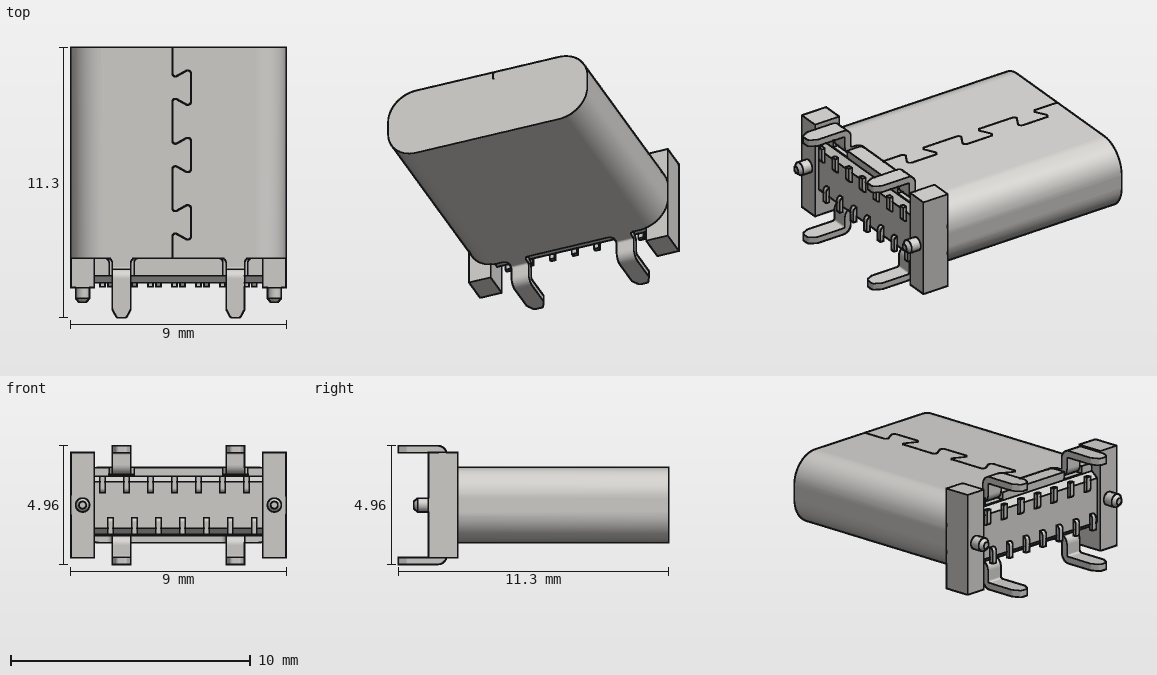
import cadquery as cq


SHELL_WIDTH = 9.0
SHELL_HEIGHT = 3.16
SHELL_LENGTH = 8.8
SHELL_SIDE_FLAT = 0.6
SHELL_CORNER_RADIUS = (SHELL_HEIGHT - SHELL_SIDE_FLAT) / 2
SHEET = 0.3

SEAM_NECK_X = -0.26
SEAM_HEAD_X = 0.515
SEAM_GAP = 0.02
TAB_COUNT = 3
TAB_FIRST_Y = 1.49
TAB_PITCH = 2.81
TAB_NECK_HALF = 0.365
TAB_HEAD_HALF = 0.8
TAB_FILLET = 0.13

BLOCK_WIDTH = 0.98
BLOCK_INSET = 0.01
BLOCK_HEIGHT = 4.4
BLOCK_LENGTH = 1.23
CORE_WIDTH = SHELL_WIDTH - 2 * (BLOCK_INSET + BLOCK_WIDTH)
LIP_DROP = 0.015
LIP_TOP_Z = SHELL_HEIGHT / 2 - LIP_DROP
CORE_LENGTH = 1.04
LIP_LENGTH = 0.73
CORE_HALF_HEIGHT = 1.21
CORE_FACE_HALF_HEIGHT = 0.965

SLOT_DEPTH = SHEET

PEG_X = (CORE_WIDTH + BLOCK_WIDTH) / 2
PEG_RADIUS = 0.29
PEG_LENGTH = 0.62
PEG_TIP_RADIUS = 0.15
PEG_TIP_LENGTH = 0.17

LEG_X = 2.375
LEG_WIDTH = 0.78
LEG_REACH = 2.5
LEG_OUTER_Z = 2.48
LEG_BEND_START = 0.375
LEG_BEND_RADIUS = 0.085
LEG_TIP_WIDTH = 0.4
LEG_TIP_LENGTH = 0.36
LEG_TIP_FILLET = 0.15
LEG_ROOT_FILLET = 0.2
NOTCH_WIDTH = 1.04
NOTCH_FLOOR_Z = 1.25
NOTCH_FLARE = 0.2

CONTACT_COUNT = 7
CONTACT_PITCH = 1.0
CONTACT_SHIFT = 0.165
CONTACT_WIDTH = 0.22
CONTACT_REACH = 1.2
CONTACT_INNER_Z = 0.52
CONTACT_ROUND = 0.18


def box(x_min, x_max, y_min, y_max, z_min, z_max):
    size = (x_max - x_min, y_max - y_min, z_max - z_min)
    return cq.Workplane("XY").box(*size, centered=False).translate((x_min, y_min, z_min))


def mirror_down(part):
    return part.mirror("XY")


def make_seam():
    """Narrow groove along a shell edge whose dovetail tabs point to +X."""
    points = [(-SHELL_WIDTH / 2, 0), (SEAM_NECK_X, 0)]
    for i in range(TAB_COUNT):
        y = TAB_FIRST_Y + i * TAB_PITCH
        points += [
            (SEAM_NECK_X, y - TAB_NECK_HALF),
            (SEAM_HEAD_X, y - TAB_HEAD_HALF),
            (SEAM_HEAD_X, y + TAB_HEAD_HALF),
            (SEAM_NECK_X, y + TAB_NECK_HALF),
        ]
    points += [(SEAM_NECK_X, SHELL_LENGTH), (-SHELL_WIDTH / 2, SHELL_LENGTH)]
    tab_corners = cq.selectors.BoxSelector(
        (SEAM_NECK_X - TAB_FILLET, TAB_FILLET, 0),
        (SEAM_HEAD_X + TAB_FILLET, SHELL_LENGTH - TAB_FILLET, SHELL_HEIGHT),
    )
    left_side = (
        cq.Workplane("XY")
        .workplane(offset=SHELL_HEIGHT / 2 - SHEET)
        .polyline(points)
        .close()
        .extrude(SHEET)
        .edges("|Z")
        .edges(tab_corners)
        .fillet(TAB_FILLET)
    )
    widened = left_side.faces(">Z").wires().toPending().offset2D(SEAM_GAP).extrude(-SHEET, combine=False)
    return widened.cut(left_side)


def make_shell():
    shell = (
        cq.Workplane("XZ")
        .rect(SHELL_WIDTH, SHELL_HEIGHT)
        .extrude(-SHELL_LENGTH)
        .edges("|Y")
        .fillet(SHELL_CORNER_RADIUS)
    )
    slot = box(-CORE_WIDTH / 2, CORE_WIDTH / 2, 0, SLOT_DEPTH, -SHELL_HEIGHT / 2 + SHEET, -CORE_HALF_HEIGHT)
    return shell.cut(make_seam()).cut(slot)


def flared_strip(x, width, flare, length, z_min, z_max):
    """Strip running to -Y from Y = 0, widened by concave fillets at Y = 0."""
    half = width / 2
    return (
        cq.Workplane("XY")
        .workplane(offset=z_min)
        .moveTo(x - half - flare, 0)
        .radiusArc((x - half, -flare), flare)
        .lineTo(x - half, -length)
        .lineTo(x + half, -length)
        .lineTo(x + half, -flare)
        .radiusArc((x + half + flare, 0), flare)
        .close()
        .extrude(z_max - z_min)
    )


def make_core():
    """Plastic core between the end blocks: chamfered end face and a notched upper lip."""
    core = (
        cq.Workplane("YZ")
        .workplane(offset=-CORE_WIDTH / 2)
        .polyline([
            (0, LIP_TOP_Z),
            (-LIP_LENGTH, LIP_TOP_Z),
            (-LIP_LENGTH, CORE_HALF_HEIGHT),
            (-CORE_LENGTH, CORE_FACE_HALF_HEIGHT),
            (-CORE_LENGTH, -CORE_FACE_HALF_HEIGHT),
            (-LIP_LENGTH, -CORE_HALF_HEIGHT),
            (0, -CORE_HALF_HEIGHT),
        ])
        .close()
        .extrude(CORE_WIDTH)
    )
    for x in (-LEG_X, LEG_X):
        notch = flared_strip(x, NOTCH_WIDTH, NOTCH_FLARE, LIP_LENGTH, NOTCH_FLOOR_Z, LIP_TOP_Z)
        core = core.cut(notch)
    return core


def make_block(side):
    """End block with its locating peg; side is -1 or +1 along X."""
    half_width = BLOCK_WIDTH / 2
    half_height = BLOCK_HEIGHT / 2
    block = box(-half_width, half_width, -BLOCK_LENGTH, 0, -half_height, half_height)
    tip_y = BLOCK_LENGTH + PEG_LENGTH
    peg = (
        cq.Workplane("YZ")
        .polyline([
            (-BLOCK_LENGTH, 0),
            (-BLOCK_LENGTH, PEG_RADIUS),
            (-tip_y + PEG_TIP_LENGTH, PEG_RADIUS),
            (-tip_y, PEG_TIP_RADIUS),
            (-tip_y, 0),
        ])
        .close()
        .revolve(360, (0, 0, 0), (1, 0, 0))
    )
    return block.union(peg).translate((side * PEG_X, 0, 0))


def make_upper_leg(x):
    """Sheet leg that steps away from the shell and then runs on to -Y."""
    root_outer = SHELL_HEIGHT / 2
    root_inner = root_outer - SHEET
    leg_inner = LEG_OUTER_Z - SHEET
    inside = LEG_BEND_RADIUS
    outside = LEG_BEND_RADIUS + SHEET
    wall_front = -LEG_BEND_START - inside
    wall_back = wall_front - SHEET
    leg = (
        cq.Workplane("YZ")
        .workplane(offset=x - LEG_WIDTH / 2)
        .moveTo(0, root_inner)
        .lineTo(-LEG_BEND_START, root_inner)
        .tangentArcPoint((wall_back, root_inner + outside), relative=False)
        .lineTo(wall_back, leg_inner - inside)
        .tangentArcPoint((wall_back - inside, leg_inner), relative=False)
        .lineTo(-LEG_REACH, leg_inner)
        .lineTo(-LEG_REACH, LEG_OUTER_Z)
        .lineTo(wall_front - outside, LEG_OUTER_Z)
        .tangentArcPoint((wall_front, LEG_OUTER_Z - outside), relative=False)
        .lineTo(wall_front, root_outer + inside)
        .tangentArcPoint((-LEG_BEND_START, root_outer), relative=False)
        .lineTo(0, root_outer)
        .close()
        .extrude(LEG_WIDTH)
    )
    tip_start = -LEG_REACH + LEG_TIP_LENGTH
    plan = (
        cq.Workplane("XY")
        .polyline([
            (x - LEG_WIDTH / 2, 0),
            (x - LEG_WIDTH / 2, tip_start),
            (x - LEG_TIP_WIDTH / 2, -LEG_REACH),
            (x + LEG_TIP_WIDTH / 2, -LEG_REACH),
            (x + LEG_WIDTH / 2, tip_start),
            (x + LEG_WIDTH / 2, 0),
        ])
        .close()
        .extrude(LEG_OUTER_Z)
        .edges("|Z")
        .edges("not >Y")
        .fillet(LEG_TIP_FILLET)
    )
    root = flared_strip(x, LEG_WIDTH, LEG_ROOT_FILLET, LEG_BEND_START, root_inner, root_outer)
    return leg.intersect(plan).union(root)


def make_upper_contact(x):
    """Contact tail on the core face, rounded at its inner end."""
    return (
        cq.Workplane("YZ")
        .workplane(offset=x - CONTACT_WIDTH / 2)
        .moveTo(-CORE_LENGTH, CORE_HALF_HEIGHT)
        .lineTo(-CONTACT_REACH, CORE_HALF_HEIGHT)
        .lineTo(-CONTACT_REACH, CONTACT_INNER_Z + CONTACT_ROUND)
        .tangentArcPoint((-CONTACT_REACH + CONTACT_ROUND, CONTACT_INNER_Z), relative=False)
        .lineTo(-CONTACT_REACH + CONTACT_ROUND, CORE_FACE_HALF_HEIGHT)
        .lineTo(-CORE_LENGTH, CORE_FACE_HALF_HEIGHT)
        .close()
        .extrude(CONTACT_WIDTH)
    )


result = make_shell().union(make_core())
for side in (-1, 1):
    result = result.union(make_block(side))
    upper_leg = make_upper_leg(side * LEG_X)
    result = result.union(upper_leg).union(mirror_down(upper_leg))
for i in range(CONTACT_COUNT):
    row_x = (i - (CONTACT_COUNT - 1) / 2) * CONTACT_PITCH
    result = result.union(make_upper_contact(row_x - CONTACT_SHIFT))
    result = result.union(mirror_down(make_upper_contact(row_x + CONTACT_SHIFT)))